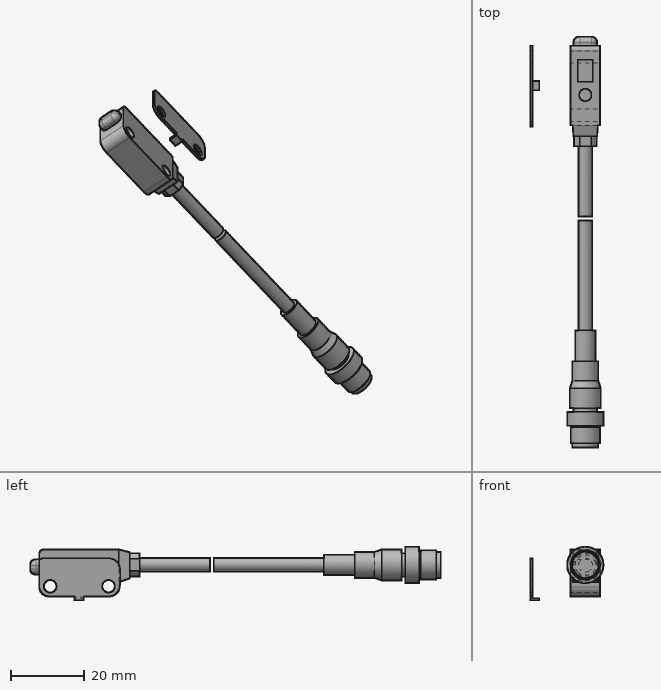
import cadquery as cq


overall_width = 19.9
overall_height = 14.7

cable_radius = 1.9
plug_cable_end = 61.9
cable_gap = 1.0
sensor_cable_end = plug_cable_end + cable_gap

nose_radius = 3.6
nose_end = 1.2
tip_radius = 4.0
relief_radius = 3.7
relief_start = 5.5
ring_diameter = 10.0
ring_radius = ring_diameter / 2
ring_start = 5.9
ring_end = 9.7
neck_radius = 3.2
neck_end = 10.7
body_radius = 4.3
body_end = 16.1
collar_radius = 3.6
taper_end = 18.1
collar_end = 23.5
sleeve_radius = 2.8
sleeve_end = 31.9

housing_width = 8.1
housing_front = 87.7
housing_rear = 109.4
housing_top = 4.3
housing_bottom = -8.6
top_rear_radius = 1.3
bottom_corner_radius = 2.7

hole_radius = 1.7
hole_z = -5.8
hole_ys = (90.5, 106.4)

mark_depth = 0.1
window_width = 4.1
window_length = 6.0
window_y = 102.6
button_radius = 1.7
button_y = 96.0

outlet_base_half_width = 3.5
outlet_base_bottom = -4.7
outlet_base_top = housing_top
outlet_tip_half_width = 3.2
outlet_tip_bottom = -3.7
outlet_tip_top = 3.5
outlet_tip = 84.7
nut_end = 82.0
nut_width = 6.3
nut_height = 6.4
nut_chamfer = 1.6

cap_end = 111.9
cap_width = 6.5
cap_height = 4.3
cap_z = -0.6
cap_corner_radius = 1.7
cap_edge_radius = 1.6

plate_left = ring_radius - overall_width
plate_thickness = 0.7
plate_front = 87.4
plate_rear = housing_rear
plate_top = 1.8
plate_bottom = housing_bottom
plate_corner_radius = 3.0
plate_top_rear_radius = 1.0
tab_front = 97.2
tab_length = 2.6
tab_reach = 2.5
tab_bottom = ring_radius - overall_height


def box_between(x_min, x_max, y_min, y_max, z_min, z_max):
    """Box given by its limits along each axis."""
    size = (x_max - x_min, y_max - y_min, z_max - z_min)
    return cq.Workplane("XY").box(*size, centered=False).translate((x_min, y_min, z_min))


def section_at(y, z=0):
    """Workplane across the cable axis; extruding from it goes toward +Y."""
    return cq.Workplane(cq.Plane(origin=(0, y, z), xDir=(-1, 0, 0), normal=(0, 1, 0)))


def mounting_holes(x_min, x_max):
    """The pair of cylinders to cut for the mounting holes."""
    plane = cq.Workplane("YZ", origin=(x_min, 0, 0))
    return plane.pushPoints([(y, hole_z) for y in hole_ys]).circle(hole_radius).extrude(x_max - x_min)


def make_connector():
    """Round connector with its half of the cable, turned about the cable axis."""
    outline = [
        (0, 0),
        (nose_radius, 0),
        (nose_radius, nose_end),
        (tip_radius, nose_end),
        (tip_radius, relief_start),
        (relief_radius, relief_start),
        (relief_radius, ring_start),
        (ring_radius, ring_start),
        (ring_radius, ring_end),
        (neck_radius, ring_end),
        (neck_radius, neck_end),
        (body_radius, neck_end),
        (body_radius, body_end),
        (collar_radius, taper_end),
        (collar_radius, collar_end),
        (sleeve_radius, collar_end),
        (sleeve_radius, sleeve_end),
        (cable_radius, sleeve_end),
        (cable_radius, plug_cable_end),
        (0, plug_cable_end),
    ]
    return cq.Workplane("XY").polyline(outline).close().revolve(360, (0, 0), (0, 1))


def make_case():
    """Housing block with rounded edges, mounting holes and top outlines."""
    half_width = housing_width / 2
    case = box_between(-half_width, half_width, housing_front, housing_rear, housing_bottom, housing_top)
    case = case.edges("|X and <Z").fillet(bottom_corner_radius)
    case = case.edges("|X and >Z and >Y").fillet(top_rear_radius)
    case = case.cut(mounting_holes(-half_width, half_width))
    top = cq.Workplane("XY", origin=(0, 0, housing_top))
    window = top.center(0, window_y).rect(window_width, window_length).extrude(-mark_depth)
    button = top.center(0, button_y).circle(button_radius).extrude(-mark_depth)
    return case.cut(window).cut(button)


def make_outlet():
    """Tapered block between the housing front and the nut."""
    base_height = outlet_base_top - outlet_base_bottom
    base_z = (outlet_base_top + outlet_base_bottom) / 2
    tip_height = outlet_tip_top - outlet_tip_bottom
    tip_z = (outlet_tip_top + outlet_tip_bottom) / 2
    return (
        section_at(outlet_tip)
        .center(0, tip_z)
        .rect(2 * outlet_tip_half_width, tip_height)
        .workplane(offset=housing_front - outlet_tip)
        .center(0, base_z - tip_z)
        .rect(2 * outlet_base_half_width, base_height)
        .loft(ruled=True)
    )


def make_nut():
    """Nut with eight sides, a near-square block with cut corners, around the cable."""
    nut = section_at(nut_end).rect(nut_width, nut_height).extrude(outlet_tip - nut_end)
    return nut.edges("|Y").chamfer(nut_chamfer)


def make_cap():
    """Rounded lens cap behind the housing."""
    cap = section_at(housing_rear, cap_z).rect(cap_width, cap_height).extrude(cap_end - housing_rear)
    return cap.edges("|Y").fillet(cap_corner_radius).faces(">Y").edges().fillet(cap_edge_radius)


def make_sensor():
    """Sensor housing with its cap, cable outlet, nut and half of the cable."""
    cable = section_at(sensor_cable_end).circle(cable_radius).extrude(nut_end - sensor_cable_end)
    return make_case().union(make_outlet()).union(make_nut()).union(cable).union(make_cap())


def make_plate():
    """Flat mounting plate with two holes and a tab bent toward the housing."""
    plate_right = plate_left + plate_thickness
    tab_rear = tab_front + tab_length
    plate = box_between(plate_left, plate_right, plate_front, plate_rear, plate_bottom, plate_top)
    plate = plate.edges("|X and (<Y or <Z)").fillet(plate_corner_radius)
    plate = plate.edges("|X and >Y and >Z").fillet(plate_top_rear_radius)
    plate = plate.cut(mounting_holes(plate_left, plate_right))
    drop = box_between(plate_left, plate_right, tab_front, tab_rear, tab_bottom, plate_bottom)
    tab = box_between(
        plate_left, plate_left + tab_reach, tab_front, tab_rear, tab_bottom, tab_bottom + plate_thickness
    )
    return plate.union(drop).union(tab)


connector = make_connector()
sensor = make_sensor()
plate = make_plate()

result = cq.Compound.makeCompound([connector.val(), sensor.val(), plate.val()])